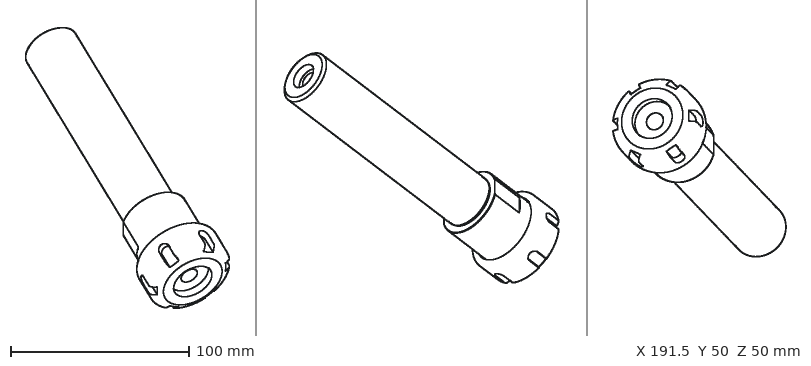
import cadquery as cq
import math

LENGTH = 191.5

SHANK_DIA = 31.8
SHANK_CHAMFER_LENGTH = 1.5
SHANK_CHAMFER_DEPTH = 2.0
NECK_DIA = 31.2
NECK_LENGTH = 1.1
COLLAR_DIA = 40.0
COLLAR_START = 139.6
COLLAR_CHAMFER = 0.29
FLAT_SPACING = 38.3
FLAT_LENGTH = 20.5
BORE_DIA = 10.0
COUNTERBORE_DIA = 15.0
COUNTERBORE_DEPTH = 4.8

NUT_DIA = 50.0
NUT_START = 168.7
NUT_FACE_DIA = 36.2
NUT_CONE_ANGLE = 60.0
NUT_REAR_ROUNDING = 2.3
NUT_FRONT_ROUNDING = 2.0
NUT_FRONT_WALL = 4.8
NUT_OPENING_DIA = 23.5
NUT_RECESS_DIA = 41.0
NUT_RECESS_DEPTH = 3.8

SLOT_COUNT = 6
SLOT_WIDTH = 6.5
SLOT_START = 176.4
SLOT_FLOOR_RADIUS = 21.0

HOLDER_END = LENGTH - NUT_FRONT_WALL


def cylinder(diameter, start, end):
    """Cylinder on the X axis between two X positions."""
    return cq.Workplane("YZ", origin=(start, 0, 0)).circle(diameter / 2).extrude(end - start)


def make_holder():
    shank_radius = SHANK_DIA / 2
    neck_radius = NECK_DIA / 2
    collar_radius = COLLAR_DIA / 2
    neck_start = COLLAR_START - NECK_LENGTH
    profile = [
        (0, 0),
        (0, shank_radius - SHANK_CHAMFER_DEPTH),
        (SHANK_CHAMFER_LENGTH, shank_radius),
        (neck_start, shank_radius),
        (COLLAR_START - NECK_LENGTH / 2, neck_radius),
        (COLLAR_START, neck_radius),
        (COLLAR_START, collar_radius - COLLAR_CHAMFER),
        (COLLAR_START + COLLAR_CHAMFER, collar_radius),
        (HOLDER_END, collar_radius),
        (HOLDER_END, 0),
    ]
    body = cq.Workplane("XY").polyline(profile).close().revolve(360, (0, 0, 0), (1, 0, 0))

    for side in (-1, 1):
        flat_cutter = cq.Workplane("XY").box(
            FLAT_LENGTH, COLLAR_DIA, COLLAR_DIA, centered=(False, True, True)
        )
        flat_offset = side * (FLAT_SPACING + COLLAR_DIA) / 2
        body = body.cut(flat_cutter.translate((COLLAR_START, flat_offset, 0)))

    body = body.cut(cylinder(BORE_DIA, 0, HOLDER_END))
    return body.cut(cylinder(COUNTERBORE_DIA, 0, COUNTERBORE_DEPTH))


def make_spanner_slot():
    """Cutter on the +Z side: flat floor, rounded at the rear, open at the front."""
    height = NUT_DIA / 2
    arc_center = SLOT_START + SLOT_WIDTH / 2
    floor = cq.Workplane("XY", origin=(0, 0, SLOT_FLOOR_RADIUS))
    return (
        floor.moveTo(LENGTH, -SLOT_WIDTH / 2)
        .lineTo(arc_center, -SLOT_WIDTH / 2)
        .threePointArc((SLOT_START, 0), (arc_center, SLOT_WIDTH / 2))
        .lineTo(LENGTH, SLOT_WIDTH / 2)
        .close()
        .extrude(height)
    )


def make_nut():
    outer_radius = NUT_DIA / 2
    face_radius = NUT_FACE_DIA / 2
    cone_length = (outer_radius - face_radius) / math.tan(math.radians(NUT_CONE_ANGLE))
    profile = [
        (NUT_START, 0),
        (NUT_START, outer_radius),
        (LENGTH - cone_length, outer_radius),
        (LENGTH, face_radius),
        (LENGTH, 0),
    ]
    nut = cq.Workplane("XY").polyline(profile).close().revolve(360, (0, 0, 0), (1, 0, 0))

    nut = nut.faces("<X").edges().fillet(NUT_REAR_ROUNDING)
    cone_foot = cq.selectors.NearestToPointSelector((LENGTH - cone_length, 0, 0))
    nut = nut.edges("%CIRCLE").edges(cone_foot).fillet(NUT_FRONT_ROUNDING)

    nut = nut.cut(cylinder(COLLAR_DIA, NUT_START, HOLDER_END))
    nut = nut.cut(cylinder(NUT_RECESS_DIA, NUT_START, NUT_START + NUT_RECESS_DEPTH))
    nut = nut.cut(cylinder(NUT_OPENING_DIA, HOLDER_END, LENGTH))

    for index in range(SLOT_COUNT):
        angle = 90 + index * 360 / SLOT_COUNT
        nut = nut.cut(make_spanner_slot().rotate((0, 0, 0), (1, 0, 0), angle))
    return nut


holder = make_holder()
nut = make_nut()
result = cq.Compound.makeCompound([holder.val(), nut.val()])